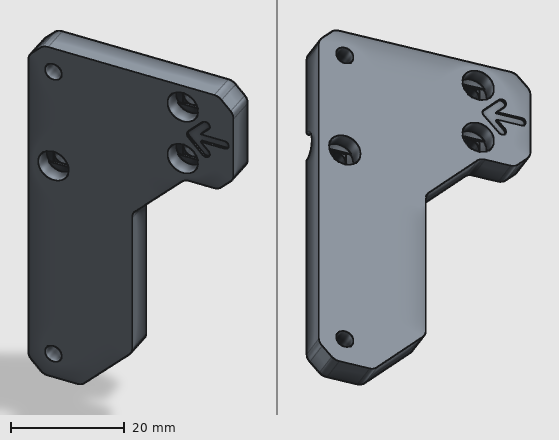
import cadquery as cq
import math

height = 70.0
arm_width = 40.5
thickness = 5.5
leg_width = 20.5
arm_height = 19.9
corner_cut = 3.0
foot_cut = 10.0
gusset = 10.4
corner_radius = 2.0

hole_diameter = 3.3
hole_inset = 5.0
lower_screw_drop = 25.0
arm_screw_inset = 10.0
arm_screw_spacing = 11.0
recess_diameter = 6.0
recess_depth = 3.0
step_width = 3.35
step_depth = 0.3

arrow_stroke = 1.6
arrow_depth = 0.5
arrow_tip_x = 32.1
arrow_tail_x = 38.8
barb_length = 4.1
barb_angle = 45

groove_drop = 22.55
groove_radius = 1.95
groove_angle = 38
groove_length = 9.8
groove_mouth_radius = 0.4

arm_bottom = height - arm_height
arm_middle = height - arm_screw_inset
arm_screw_x = arm_width - arm_screw_inset


def plate():
    outline = [
        (corner_cut, 0),
        (leg_width - foot_cut, 0),
        (leg_width, foot_cut),
        (leg_width, arm_bottom - gusset),
        (leg_width + gusset, arm_bottom),
        (arm_width - corner_cut, arm_bottom),
        (arm_width, arm_bottom + corner_cut),
        (arm_width, height - corner_cut),
        (arm_width - corner_cut, height),
        (corner_cut, height),
        (0, height - corner_cut),
        (0, corner_cut),
    ]
    blank = cq.Workplane("XZ").polyline(outline).close().extrude(-thickness)
    return blank.edges("|Y").fillet(corner_radius)


def front_plane(x, z, depth=0.0):
    """Work plane parallel to the front face, its origin at (x, depth, z)."""
    return cq.Workplane("XZ", origin=(x, depth, z))


def through_hole(x, z):
    return front_plane(x, z).circle(hole_diameter / 2).extrude(-thickness)


def recessed_screw(x, z):
    """Round recess, then a full-width slot, then a square, then the through hole."""
    recess = front_plane(x, z).circle(recess_diameter / 2).extrude(-recess_depth)
    slot = (
        front_plane(x, z, recess_depth)
        .rect(recess_diameter, step_width)
        .extrude(-step_depth)
        .intersect(front_plane(x, z).circle(recess_diameter / 2).extrude(-thickness))
    )
    square = front_plane(x, z, recess_depth).rect(step_width, step_width).extrude(-2 * step_depth)
    return recess.union(slot).union(square).union(through_hole(x, z))


def arrow_bar(length, angle):
    """Round-ended bar that starts at the arrow tip and points along angle in degrees."""
    return (
        front_plane(arrow_tip_x, arm_middle)
        .transformed(rotate=(0, 0, angle))
        .center(length / 2, 0)
        .slot2D(length + arrow_stroke, arrow_stroke)
        .extrude(-arrow_depth)
    )


def arrow():
    shaft = arrow_bar(arrow_tail_x - arrow_tip_x, 0)
    return shaft.union(arrow_bar(barb_length, barb_angle)).union(arrow_bar(barb_length, -barb_angle))


def back_groove():
    """Slanted round bar along the back face, started outside the plate to open its left side."""
    climb = math.radians(groove_angle)
    direction = cq.Vector(math.cos(climb), 0, math.sin(climb))
    mouth_center = cq.Vector(0, thickness, height - groove_drop)
    overrun = 2 * groove_radius
    bar = cq.Solid.makeCylinder(
        groove_radius,
        groove_length + overrun,
        mouth_center - direction * overrun,
        direction,
    )
    return cq.Workplane(bar)


result = plate()

for hole_z in (hole_inset, height - hole_inset):
    result = result.cut(through_hole(hole_inset, hole_z))

recessed_screws = [
    (hole_inset, height - lower_screw_drop),
    (arm_screw_x, arm_middle - arm_screw_spacing / 2),
    (arm_screw_x, arm_middle + arm_screw_spacing / 2),
]
for screw_x, screw_z in recessed_screws:
    result = result.cut(recessed_screw(screw_x, screw_z))

result = result.cut(arrow()).cut(back_groove())

result = result.faces("<X").edges("%ELLIPSE").fillet(groove_mouth_radius)